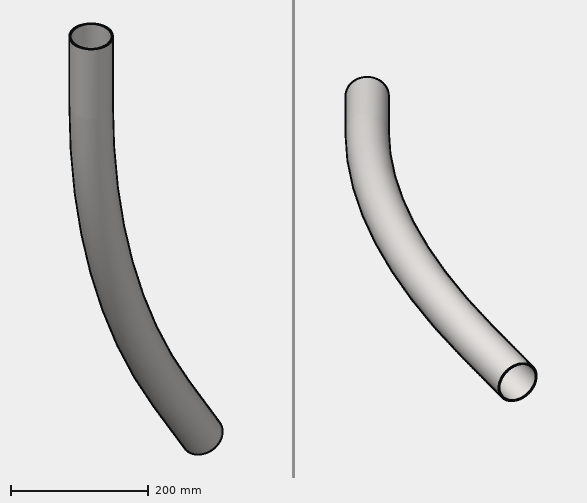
import cadquery as cq
import math

outer_diameter = 64.0
inner_diameter = 59.5
total_height = 862.5
straight_length = 126.0
bend_angle = 30.0

bend = math.radians(bend_angle)
outer_radius = outer_diameter / 2

straight_height = straight_length * (1 + math.cos(bend))
rim_drop = outer_radius * math.sin(bend)
bend_radius = (total_height - straight_height - rim_drop) / math.sin(bend)


def bend_point(angle):
    """Centreline point (y, z) of the bend, measured from its upper end at the origin."""
    return (bend_radius * (1 - math.cos(angle)), -bend_radius * math.sin(angle))


bend_end_y, bend_end_z = bend_point(bend)
lower_end = (
    bend_end_y + straight_length * math.sin(bend),
    bend_end_z - straight_length * math.cos(bend),
)
centreline = (
    cq.Workplane("YZ")
    .moveTo(0, straight_length)
    .lineTo(0, 0)
    .threePointArc(bend_point(bend / 2), (bend_end_y, bend_end_z))
    .lineTo(*lower_end)
)

result = (
    cq.Workplane("XY", origin=(0, 0, straight_length))
    .circle(outer_diameter / 2)
    .circle(inner_diameter / 2)
    .sweep(centreline)
)